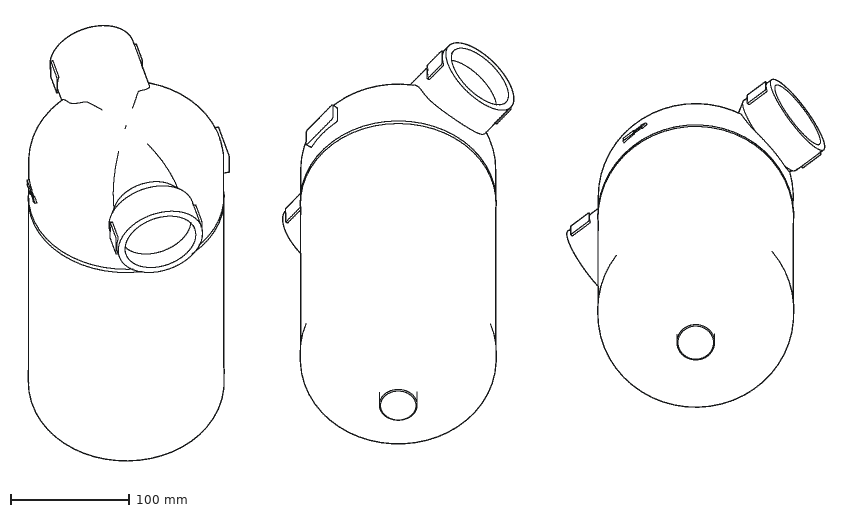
import cadquery as cq
import math


upper_head_radius = 165.0 / 2
shell_radius = 165.2 / 2
lower_head_radius = 165.8 / 2
weld_bead_radius = 83.0
upper_weld_top = -60.5
upper_weld_bottom = -64.5
lower_weld_top = -279.3
lower_weld_bottom = -284.0

upper_knuckle_bottom = -14.8
upper_knuckle_radius = 26.0

lower_knuckle_top = -292.4
lower_knuckle_radius = 22.0
lower_head_bottom = -339.5

drain_radius = 32.0 / 2
drain_end = -360.0
drain_chamfer = 1.0
drain_weld_fillet = 2.0

pipe_length = 220.0
socket_radius = 74.0 / 2
neck_radius = 29.5
inlet_shoulder_radius = 10.0
inlet_neck_start = -42.8
inlet_neck_fillet = 3.0
outlet_cone_start = 67.6
outlet_socket_start = 80.0
bore_radius = 62.0 / 2
bore_depth = 16.0

pad_size = 20.0
pad_center_x = 95.4
pad_face_y = 37.5
pad_corner_radius = 1.0

plate_width = 36.0
plate_height = 21.0
plate_center_z = -25.5
plate_face_y = 85.54
plate_corner_radius = 2.0
plate_depth = 10.0

arrow_face_y = -83.5
arrow_depth = 5.0
arrow_center_z = -31.0
arrow_half_length = 12.4
arrow_half_height = 3.0
arrow_shaft_half_height = 1.2
arrow_notch = 1.0
arrow_tail_end = -0.8
arrow_head_start = 7.3


def head_crown(wall_radius, knuckle_radius, head_height):
    """Return the crown radius and its half angle for a torispherical head.

    The crown arc is tangent to the knuckle arc, and the knuckle is tangent to the wall.
    """
    offset = wall_radius - knuckle_radius
    crown_radius = (offset**2 + head_height**2 - knuckle_radius**2) / (2 * (head_height - knuckle_radius))
    half_angle = math.asin(offset / (crown_radius - knuckle_radius))
    return crown_radius, half_angle


def polar_point(center, radius, angle):
    """Point on a circle, with the angle measured from the first axis of the sketch."""
    return center[0] + radius * math.cos(angle), center[1] + radius * math.sin(angle)


def head_points(wall_radius, knuckle_radius, straight_end, apex, rim_radius):
    """Return knuckle middle, knuckle end, crown middle and crown end, from the wall inwards.

    The head points up or down from straight_end to apex; rim_radius is where the crown stops.
    """
    direction = math.copysign(1, apex - straight_end)
    crown_radius, half_angle = head_crown(wall_radius, knuckle_radius, abs(apex - straight_end))
    knuckle_center = (wall_radius - knuckle_radius, straight_end)
    crown_center = (0, apex - direction * crown_radius)
    tangent_angle = math.pi / 2 - half_angle
    rim_angle = math.acos(rim_radius / crown_radius)
    return (
        polar_point(knuckle_center, knuckle_radius, direction * tangent_angle / 2),
        polar_point(knuckle_center, knuckle_radius, direction * tangent_angle),
        polar_point(crown_center, crown_radius, direction * (tangent_angle + rim_angle) / 2),
        polar_point(crown_center, crown_radius, direction * rim_angle),
    )


def make_vessel():
    """Revolved shell with both heads, the two weld beads and the drain stub."""
    upper = head_points(
        upper_head_radius, upper_knuckle_radius, upper_knuckle_bottom, neck_radius, 0
    )
    lower = head_points(
        lower_head_radius, lower_knuckle_radius, lower_knuckle_top, lower_head_bottom, drain_radius
    )
    upper_weld_middle = (upper_weld_top + upper_weld_bottom) / 2
    lower_weld_middle = (lower_weld_top + lower_weld_bottom) / 2
    vessel = (
        cq.Workplane("XZ")
        .moveTo(0, drain_end)
        .lineTo(0, neck_radius)
        .threePointArc(upper[2], upper[1])
        .threePointArc(upper[0], (upper_head_radius, upper_knuckle_bottom))
        .lineTo(upper_head_radius, upper_weld_top)
        .threePointArc((weld_bead_radius, upper_weld_middle), (shell_radius, upper_weld_bottom))
        .lineTo(shell_radius, lower_weld_top)
        .threePointArc((weld_bead_radius, lower_weld_middle), (lower_head_radius, lower_weld_bottom))
        .lineTo(lower_head_radius, lower_knuckle_top)
        .threePointArc(lower[0], lower[1])
        .threePointArc(lower[2], lower[3])
        .lineTo(drain_radius, drain_end)
        .close()
        .revolve(360, (0, 0, 0), (0, 1, 0))
    )
    drain_root_z = lower[3][1]
    zone_margin = 1.0
    zone_half_width = drain_radius + zone_margin
    vessel = vessel.faces("<Z").edges().chamfer(drain_chamfer)
    drain_root = cq.selectors.BoxSelector(
        (-zone_half_width, -zone_half_width, drain_root_z - zone_margin),
        (zone_half_width, zone_half_width, drain_root_z + zone_margin),
        boundingbox=True,
    )
    return vessel.edges(drain_root).edges("%CIRCLE").fillet(drain_weld_fillet)


def make_pipe():
    """Solid nozzle pipe: two sockets joined by a thinner neck."""
    half_length = pipe_length / 2
    fillet_center = (inlet_neck_start, neck_radius + inlet_neck_fillet)
    center_distance = inlet_shoulder_radius + inlet_neck_fillet
    center_rise = fillet_center[1] - (socket_radius - inlet_shoulder_radius)
    center_run = math.sqrt(center_distance**2 - center_rise**2)
    shoulder_center = (inlet_neck_start - center_run, socket_radius - inlet_shoulder_radius)
    meet_angle = math.atan2(center_rise, center_run)
    shoulder_middle = polar_point(shoulder_center, inlet_shoulder_radius, (meet_angle + math.pi / 2) / 2)
    meet = polar_point(shoulder_center, inlet_shoulder_radius, meet_angle)
    fillet_middle_angle = math.pi + (meet_angle + math.pi / 2) / 2
    fillet_middle = polar_point(fillet_center, inlet_neck_fillet, fillet_middle_angle)
    return (
        cq.Workplane("XZ")
        .moveTo(-half_length, 0)
        .lineTo(-half_length, socket_radius)
        .lineTo(shoulder_center[0], socket_radius)
        .threePointArc(shoulder_middle, meet)
        .threePointArc(fillet_middle, (inlet_neck_start, neck_radius))
        .lineTo(outlet_cone_start, neck_radius)
        .lineTo(outlet_socket_start, socket_radius)
        .lineTo(half_length, socket_radius)
        .lineTo(half_length, 0)
        .close()
        .revolve(360, (0, 0, 0), (1, 0, 0))
    )


def make_pads():
    """Flat square pads on both Y sides of each socket, as bars through the pipe."""
    return (
        cq.Workplane("XZ")
        .pushPoints([(-pad_center_x, 0), (pad_center_x, 0)])
        .rect(pad_size, pad_size)
        .extrude(pad_face_y, both=True)
        .edges("|Y")
        .fillet(pad_corner_radius)
    )


def make_nameplate():
    """Rounded plate on the +Y side, running inwards until it is buried in the shell."""
    return (
        cq.Workplane("XZ", origin=(0, plate_face_y, plate_center_z))
        .rect(plate_width, plate_height)
        .extrude(plate_depth)
        .edges("|Y")
        .fillet(plate_corner_radius)
    )


def make_flow_arrow():
    """Raised arrow with a notched tail block, a thin shaft and a pointed head."""
    upper_half = [
        (-arrow_half_length, arrow_half_height),
        (arrow_tail_end, arrow_half_height),
        (arrow_tail_end, arrow_shaft_half_height),
        (arrow_head_start, arrow_shaft_half_height),
        (arrow_head_start, arrow_half_height),
    ]
    lower_half = [(x, -z) for x, z in reversed(upper_half)]
    notch = (-arrow_half_length + arrow_notch, 0)
    tip = (arrow_half_length, 0)
    return (
        cq.Workplane("XZ", origin=(0, arrow_face_y, arrow_center_z))
        .polyline([notch] + upper_half + [tip] + lower_half)
        .close()
        .extrude(-arrow_depth)
    )


def make_bore(end):
    """Blind socket bore; end is -1 for the inlet and +1 for the outlet."""
    return (
        cq.Workplane("YZ", origin=(end * pipe_length / 2, 0, 0))
        .circle(bore_radius)
        .extrude(-end * bore_depth)
    )


result = make_vessel().union(make_pipe()).union(make_pads())
result = result.union(make_nameplate()).union(make_flow_arrow())
for end in (-1, 1):
    result = result.cut(make_bore(end))